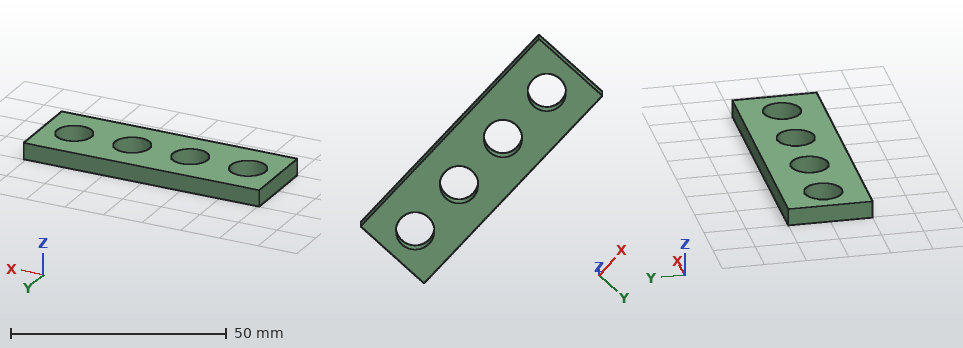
import cadquery as cq

length = 60.95
width = 20.05
thickness = 4.2

hole_count = 4
hole_diameter = 8.9
hole_pitch = 15.0
first_hole_from_end = 7.8

first_hole_x = first_hole_from_end - length / 2
hole_centers = [(first_hole_x + i * hole_pitch, 0) for i in range(hole_count)]

bar = cq.Workplane("XY").box(length, width, thickness)
result = bar.faces(">Z").workplane().pushPoints(hole_centers).hole(hole_diameter)